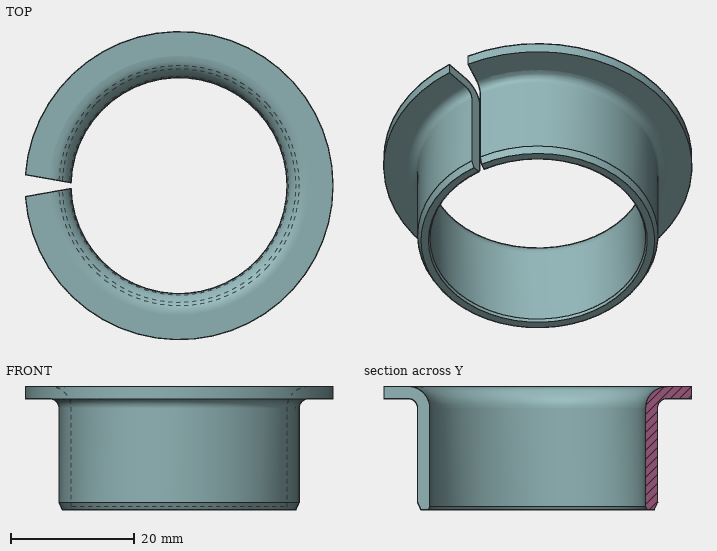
import cadquery as cq
import math

flange_radius = 25.0
bore_radius = 17.5
wall = 2.0
height = 20.0
inner_bend_radius = 3.5
sleeve_chamfer_height = 1.2
sleeve_chamfer_width = 0.55
bore_chamfer_height = 0.5
bore_chamfer_width = 0.25

slit_half_angle = 10.0
slit_half_width_at_bore = 0.45

sleeve_radius = bore_radius + wall
outer_bend_radius = inner_bend_radius - wall
bend_center_radius = bore_radius + inner_bend_radius
bend_center_height = height - inner_bend_radius


def bend_midpoint(radius):
    """Middle point of a quarter bend between sleeve and flange, on the -X side."""
    offset = radius * math.sqrt(0.5)
    return (offset - bend_center_radius, bend_center_height + offset)


def make_bushing():
    """Revolve the bent wall section around Z, starting at the slit."""
    section = (
        cq.Workplane("XZ")
        .moveTo(-(bore_radius + bore_chamfer_width), 0)
        .lineTo(-bore_radius, bore_chamfer_height)
        .lineTo(-bore_radius, bend_center_height)
        .threePointArc(bend_midpoint(inner_bend_radius), (-bend_center_radius, height))
        .lineTo(-flange_radius, height)
        .lineTo(-flange_radius, height - wall)
        .lineTo(-bend_center_radius, height - wall)
        .threePointArc(bend_midpoint(outer_bend_radius), (-sleeve_radius, bend_center_height))
        .lineTo(-sleeve_radius, sleeve_chamfer_height)
        .lineTo(sleeve_chamfer_width - sleeve_radius, 0)
        .close()
    )
    return section.revolve(360, (0, 0, 0), (0, 1, 0))


def make_slit():
    """Wedge that cuts the ring through along its full height."""
    slope = math.tan(math.radians(slit_half_angle))
    apex_x = -bore_radius + slit_half_width_at_bore / slope
    outer_x = -(flange_radius + wall)
    outer_half_width = (apex_x - outer_x) * slope
    return (
        cq.Workplane("XY")
        .moveTo(apex_x, 0)
        .lineTo(outer_x, outer_half_width)
        .lineTo(outer_x, -outer_half_width)
        .close()
        .extrude(height)
    )


result = make_bushing().cut(make_slit())